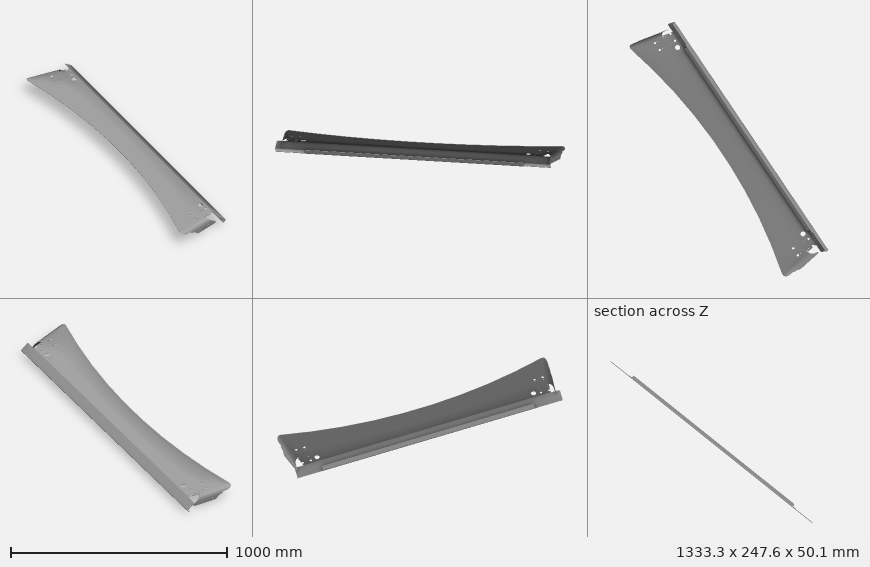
import math

import cadquery as cq

sheet = 2.0
depth = 247.55
height = 50.11

tip_half_width = 650.3
fold_angle = 10.5
neck_y = 206.0
arch_half_width = 645.0
arch_rise = 82.0

flange_angle = 36.5
flange_bend_radius = 6.0
corner_radius = 4.0
channel_half_width = 656.0
lip_bend_half_width = 540.0
lip_half_width = 524.0
lip_length = 19.0
channel_chamfer = 4.5

wing_radius = 25.0
wing_angle = 75.0
wing_drop = 38.5
wing_rear_y = 156.0
tab_drop = 11.0
tab_front_y = 28.0
tab_corner_y = 11.2
tab_corner_drop = 6.6
tab_rear_y = 47.0
tab_rear_drop = 12.5
band_front_y = 52.5
band_front_drop = 18.0
band_knee_y = 73.0
band_knee_drop = 23.0
band_bottom_front_y = 91.0
band_bottom_rear_y = 199.0
band_tip_y = 203.5
band_tip_drop = 32.0
band_tip_chamfer = 6.0

slit_width = 3.0
slit_depth = 8.0

mount_columns = (570.0, 610.0)
mount_hole_rows = (110.0, 194.0)
mount_hole_diameter = 11.0
pin_hole_rows = (124.0, 168.0)
pin_hole_diameter = 4.0
cable_hole_x = 536.0
cable_hole_y = 186.0
cable_hole_diameter = 24.0

wing_hole_drop = 29.0
wing_hole_diameter = 5.0
wing_hole_positions = (106.0, 156.0)

slant = math.tan(math.radians(fold_angle))


def fold_x(y):
    """Half width of the plate at the fold line."""
    return tip_half_width - y * slant


def heading_vectors(heading):
    """Unit vectors along a profile heading and to its right, where the sheet lies."""
    angle = math.radians(heading)
    along = cq.Vector(math.cos(angle), math.sin(angle))
    right = cq.Vector(math.sin(angle), -math.cos(angle))
    return along, right


def make_leg(plane, start, heading, length, half_width):
    """Flat strip with its outer face starting at `start`; returns the strip and its end point."""
    along, right = heading_vectors(heading)
    end = start + along * length
    corners = [start, end, end + right * sheet, start + right * sheet]
    outline = [(p.x, p.y) for p in corners]
    strip = cq.Workplane(plane).polyline(outline).close().extrude(half_width, both=True)
    return strip, end


def make_bend(plane, start, heading, turn, radius, half_width):
    """Bend turning right by `turn` degrees around an outer radius; returns the bend and its end point."""
    _, right = heading_vectors(heading)
    _, right_middle = heading_vectors(heading - turn / 2)
    _, right_end = heading_vectors(heading - turn)
    center = start + right * radius
    inner = radius - sheet

    def on_arc(direction, distance):
        point = center - direction * distance
        return (point.x, point.y)

    end = center - right_end * radius
    bend = (
        cq.Workplane(plane)
        .moveTo(start.x, start.y)
        .threePointArc(on_arc(right_middle, radius), (end.x, end.y))
        .lineTo(*on_arc(right_end, inner))
        .threePointArc(on_arc(right_middle, inner), on_arc(right, inner))
        .close()
        .extrude(half_width, both=True)
    )
    return bend, end


def make_plate():
    """Flat plate with an arched front edge and slanted sides."""
    neck_half_width = fold_x(neck_y)
    return (
        cq.Workplane("XY")
        .moveTo(-arch_half_width, 0)
        .threePointArc((0, arch_rise), (arch_half_width, 0))
        .lineTo(tip_half_width, 0)
        .lineTo(neck_half_width, neck_y)
        .lineTo(-neck_half_width, neck_y)
        .lineTo(-tip_half_width, 0)
        .close()
        .extrude(-sheet)
    )


def chamfer_strip_end(strip, heading, end):
    """Cut the two corners of a strip at its highest or lowest end."""
    _, right = heading_vectors(heading)
    thickness_direction = cq.Vector(0, right.x, right.y)
    corners = strip.edges(cq.selectors.ParallelDirSelector(thickness_direction)).edges(end)
    return corners.chamfer(channel_chamfer)


def make_channel():
    """Rear channel: a sloping flange, a wall square to it and a lip parallel to it."""
    plane = cq.Plane(origin=(0, 0, 0), xDir=(0, 1, 0), normal=(1, 0, 0))
    tilt = math.radians(flange_angle)
    wall_heading = -flange_angle - 90
    lip_heading = wall_heading - 90

    neck = cq.Vector(neck_y, 0)
    first_bend, flange_start = make_bend(plane, neck, 0, flange_angle, flange_bend_radius, fold_x(neck_y))

    flange_run = depth - corner_radius + corner_radius * math.sin(tilt) - flange_start.x
    flange_length = flange_run / math.cos(tilt)
    flange, flange_end = make_leg(plane, flange_start, -flange_angle, flange_length, channel_half_width)
    flange = chamfer_strip_end(flange, -flange_angle, ">Z")

    corner, wall_start = make_bend(plane, flange_end, -flange_angle, 90, corner_radius, channel_half_width)
    corner_center_z = flange_end.y - corner_radius * math.cos(tilt)
    wall_length = (corner_center_z + height - corner_radius) / math.cos(tilt)
    wall, wall_end = make_leg(plane, wall_start, wall_heading, wall_length, channel_half_width)
    wall = chamfer_strip_end(wall, wall_heading, "<Z")

    lip_bend, lip_start = make_bend(plane, wall_end, wall_heading, 90, corner_radius, lip_bend_half_width)
    lip, _ = make_leg(plane, lip_start, lip_heading, lip_length, lip_half_width)
    return first_bend.union(flange).union(corner).union(wall).union(lip_bend).union(lip)


def make_wing_outline():
    """Prism along X that trims the left wing to its side outline."""
    outline = (
        cq.Workplane("YZ", origin=(-2 * tip_half_width, 0, 0))
        .moveTo(0, 0)
        .threePointArc((tab_corner_y, -tab_corner_drop), (tab_front_y, -tab_drop))
        .lineTo(tab_rear_y, -tab_rear_drop)
        .lineTo(band_front_y, -tab_rear_drop)
        .lineTo(band_front_y, -band_front_drop)
        .lineTo(band_knee_y, -band_knee_drop)
        .lineTo(band_bottom_front_y, -wing_drop)
        .lineTo(band_bottom_rear_y, -wing_drop)
        .lineTo(band_tip_y, band_tip_chamfer - wing_drop)
        .lineTo(band_tip_y, -band_tip_drop)
        .lineTo(wing_rear_y, 0)
        .close()
    )
    return outline.extrude(2 * tip_half_width)


def make_wing():
    """Left wing: a rolled bend followed by a flat band with holes, made oversize and trimmed."""
    angle = math.radians(fold_angle)
    outward = (-math.cos(angle), math.sin(angle), 0)
    along_fold = (math.sin(angle), math.cos(angle), 0)
    plane = cq.Plane(origin=(-tip_half_width, 0, 0), xDir=outward, normal=along_fold)
    bend, band_start = make_bend(plane, cq.Vector(0, 0), 0, wing_angle, wing_radius, depth)
    untrimmed_band_length = height
    band, _ = make_leg(plane, band_start, -wing_angle, untrimmed_band_length, depth)
    wing = bend.union(band).intersect(make_wing_outline())
    holes = (
        cq.Workplane("YZ", origin=(-2 * tip_half_width, 0, 0))
        .pushPoints([(y, -wing_hole_drop) for y in wing_hole_positions])
        .circle(wing_hole_diameter / 2)
        .extrude(2 * tip_half_width)
    )
    return wing.cut(holes)


def hole_cutter(points, diameter):
    """Cylinders that pass through the plate at the given points."""
    return cq.Workplane("XY").pushPoints(points).circle(diameter / 2).extrude(-2 * sheet, both=True)


def cut_plate_holes(plate):
    """Drill both mirrored hole groups through the plate."""
    columns = [side * x for side in (-1, 1) for x in mount_columns]
    mount_points = [(x, y) for x in columns for y in mount_hole_rows]
    pin_points = [(x, y) for x in columns for y in pin_hole_rows]
    cable_points = [(side * cable_hole_x, cable_hole_y) for side in (-1, 1)]
    plate = plate.cut(hole_cutter(mount_points, mount_hole_diameter))
    plate = plate.cut(hole_cutter(pin_points, pin_hole_diameter))
    return plate.cut(hole_cutter(cable_points, cable_hole_diameter))


def cut_relief_slits(plate):
    """Cut a short slit into each side of the plate behind the wing."""
    slit_y = wing_rear_y + slit_width / 2
    for side in (-1, 1):
        slit = cq.Workplane("XY").center(side * fold_x(slit_y), slit_y).rect(2 * slit_depth, slit_width)
        plate = plate.cut(slit.extrude(-sheet))
    return plate


plate = cut_relief_slits(cut_plate_holes(make_plate()))
wing = make_wing()
result = plate.union(make_channel()).union(wing).union(wing.mirror("YZ"))